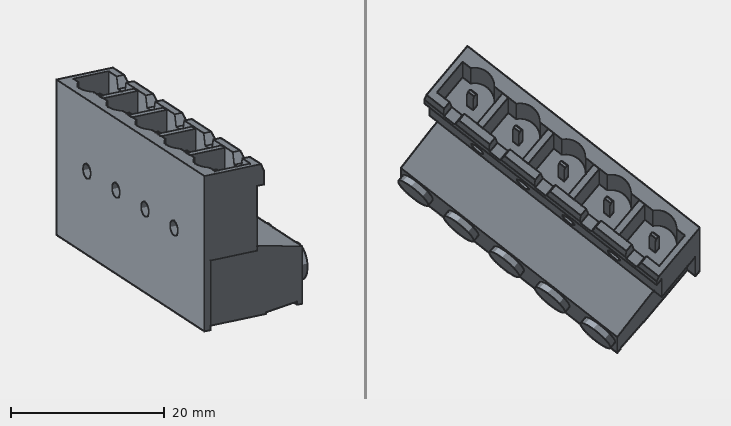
import cadquery as cq

poles = 5
pitch = 7.6
pole_x = [(i - (poles - 1) / 2) * pitch for i in range(poles)]

body_width = 38.85
body_height = 21.75
body_depth = 7.9
plate_thickness = 0.95

lip_depth = 8.95
lip_bottom = 18.8
lip_bevel_bottom = 20.65
lip_bevel = 0.45

block_width = 36.15
block_height = 9.75
block_back = 15.42
block_slope_start = 9.1
block_back_top = 8.4
foot_back = 10.02
foot_step = 0.25
ramp_end_y = 14.65
ramp_end_z = 0.8
heel_z = 0.35

screw_radius = 2.52
screw_z = 5.2
screw_end = 16.4

pocket_width = 6.68
pocket_front = 2.05
pocket_back = 7.35
pocket_floor = 14.0
arc_half_width = 2.0
arc_depth = 0.95
divider_drop = 0.1

notch_top_width = 2.5
notch_floor_width = 1.75
notch_depth = 1.65

pin_width = 1.0
pin_thickness = 0.85
pin_y = 4.25
pin_top = 20.2
pin_taper_width = 0.25
pin_taper_height = 0.78

hole_radius = 1.0
hole_z = 11.7


def extrude_side_profile(points, width):
    """Extrude a closed (Y, Z) outline along X, centred on X = 0."""
    return cq.Workplane("YZ").polyline(points).close().extrude(width / 2, both=True)


def make_body():
    outline = [
        (0, 0),
        (plate_thickness, 0),
        (plate_thickness, block_height),
        (body_depth, block_height),
        (body_depth, lip_bottom),
        (lip_depth, lip_bottom),
        (lip_depth, lip_bevel_bottom),
        (lip_depth - lip_bevel, body_height),
        (0, body_height),
    ]
    return extrude_side_profile(outline, body_width)


def make_block():
    outline = [
        (0, 0),
        (foot_back, 0),
        (foot_back, foot_step),
        (ramp_end_y, ramp_end_z),
        (ramp_end_y, heel_z),
        (block_back, heel_z),
        (block_back, block_back_top),
        (block_slope_start, block_height),
        (0, block_height),
    ]
    return extrude_side_profile(outline, block_width)


def make_screw(x):
    start = block_slope_start
    plane = cq.Workplane("XZ", origin=(x, start, screw_z))
    return plane.circle(screw_radius).extrude(start - screw_end)


def make_pocket(x):
    left = x - pocket_width / 2
    right = x + pocket_width / 2
    return (
        cq.Workplane("XY", origin=(0, 0, pocket_floor))
        .moveTo(left, pocket_back)
        .lineTo(left, pocket_front)
        .lineTo(x - arc_half_width, pocket_front)
        .threePointArc((x, pocket_front - arc_depth), (x + arc_half_width, pocket_front))
        .lineTo(right, pocket_front)
        .lineTo(right, pocket_back)
        .close()
        .extrude(body_height - pocket_floor)
    )


def make_notch(x):
    floor_z = body_height - notch_depth
    outline = [
        (x - notch_floor_width / 2, floor_z),
        (x + notch_floor_width / 2, floor_z),
        (x + notch_top_width / 2, body_height),
        (x - notch_top_width / 2, body_height),
    ]
    plane = cq.Workplane("XZ", origin=(0, pocket_back, 0))
    return plane.polyline(outline).close().extrude(pocket_back - lip_depth)


def make_divider_relief(x):
    """Lower the top of the divider between two pockets."""
    width = pitch - pocket_width
    depth = pocket_back - pocket_front
    middle_y = (pocket_front + pocket_back) / 2
    plane = cq.Workplane("XY", origin=(x, middle_y, body_height - divider_drop))
    return plane.rect(width, depth).extrude(divider_drop)


def make_pin(x):
    """Pin whose tip tapers towards the front and the rear."""
    half = pin_thickness / 2
    tip_half = half - pin_taper_width
    shoulder_z = pin_top - pin_taper_height
    outline = [
        (pin_y - half, pocket_floor),
        (pin_y + half, pocket_floor),
        (pin_y + half, shoulder_z),
        (pin_y + tip_half, pin_top),
        (pin_y - tip_half, pin_top),
        (pin_y - half, shoulder_z),
    ]
    return extrude_side_profile(outline, pin_width).translate((x, 0, 0))


def make_hole(x):
    plane = cq.Workplane("XZ", origin=(x, 0, hole_z))
    return plane.circle(hole_radius).extrude(-body_depth)


result = make_body().union(make_block())

for x in pole_x:
    result = result.union(make_screw(x))
    result = result.cut(make_pocket(x)).cut(make_notch(x))
    result = result.union(make_pin(x))

for x in pole_x[:-1]:
    divider_x = x + pitch / 2
    result = result.cut(make_divider_relief(divider_x)).cut(make_hole(divider_x))